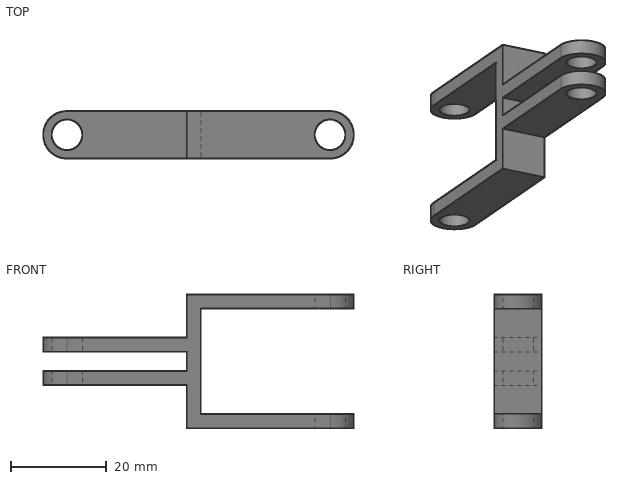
import cadquery as cq

width = 10.0
thickness = 3.0
hole_diameter = 6.35
end_radius = width / 2

narrow_gap = 4.0
narrow_reach = 30.0

wide_gap = 22.0
wide_reach = 35.0

wall_height = wide_gap + 2 * thickness


def arm(direction, reach, bottom):
    """Flat arm from X = 0 with a rounded, drilled end; direction is +1 or -1 along X."""
    hole_x = direction * (reach - end_radius)
    bar = cq.Workplane("XY").box(abs(hole_x), width, thickness, centered=(True, True, False))
    bar = bar.translate((hole_x / 2, 0, 0))
    tip = cq.Workplane("XY").center(hole_x, 0).circle(end_radius).extrude(thickness)
    hole = cq.Workplane("XY").center(hole_x, 0).circle(hole_diameter / 2).extrude(thickness)
    return bar.union(tip).cut(hole).translate((0, 0, bottom))


def add_fork(body, direction, reach, gap):
    """Join a pair of arms, mirrored about Z = 0, to the body."""
    for bottom in (gap / 2, -gap / 2 - thickness):
        body = body.union(arm(direction, reach, bottom))
    return body


cross_wall = cq.Workplane("XY").box(thickness, width, wall_height, centered=(False, True, True))
result = add_fork(cross_wall, -1, narrow_reach, narrow_gap)
result = add_fork(result, 1, wide_reach, wide_gap)